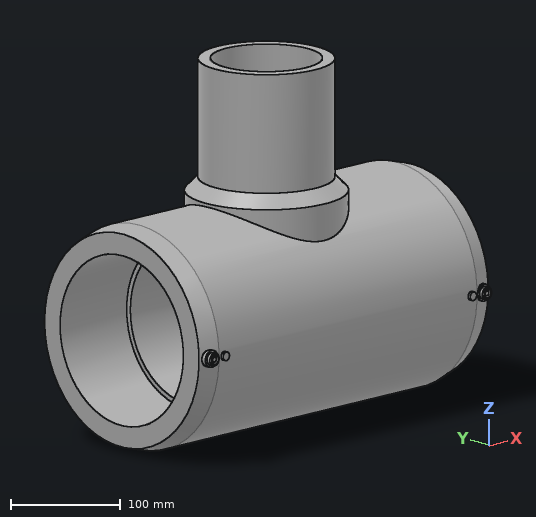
import cadquery as cq
import math

overall_depth = 216.5
overall_height = 338.5

run_length = 370.5
run_diameter = 211.5
end_taper_length = 20.0
end_taper_angle = 15.0
bore_diameter = 150.5
socket_diameter = 160.0
socket_depth = 85.2

branch_diameter = 125.2
branch_bore_diameter = 102.3
branch_length = 111.5
collar_diameter = 150.0
branch_top = overall_height - run_diameter / 2

terminal_inset = 10.7
terminal_reach = overall_depth - run_diameter / 2
terminal_base_diameter = 16.0
terminal_base_reach = run_diameter / 2
terminal_diameter = 12.0
terminal_tip_chamfer = 1.0
terminal_recess_diameter = 8.0
terminal_recess_depth = 4.5
contact_diameter = 5.0
contact_setback = 1.0
indicator_inset = 27.0
indicator_diameter = 8.0
indicator_height = 2.5
anchor_reach = 92.5


def x_cylinder(diameter, length, start):
    return cq.Workplane("YZ", origin=(start, 0, 0)).circle(diameter / 2).extrude(length)


def z_cylinder(diameter, height):
    return cq.Workplane("XY").circle(diameter / 2).extrude(height)


def y_pin(x, diameter, start, reach):
    """Round pin pointing toward -Y, between two distances from the run axis."""
    return cq.Workplane("XZ", origin=(x, -start, 0)).circle(diameter / 2).extrude(reach - start)


def run_body():
    half = run_length / 2
    radius = run_diameter / 2
    end_radius = radius - end_taper_length * math.tan(math.radians(end_taper_angle))
    profile = [
        (-half, 0),
        (-half, end_radius),
        (-half + end_taper_length, radius),
        (half - end_taper_length, radius),
        (half, end_radius),
        (half, 0),
    ]
    return cq.Workplane("XY").polyline(profile).close().revolve(360, (0, 0, 0), (1, 0, 0))


def branch_body():
    """Pipe with a thicker collar at its root, joined by a 45 degree shoulder."""
    pipe_radius = branch_diameter / 2
    collar_radius = collar_diameter / 2
    shoulder_top = branch_top - branch_length
    shoulder_bottom = shoulder_top - (collar_radius - pipe_radius)
    profile = [
        (0, 0),
        (collar_radius, 0),
        (collar_radius, shoulder_bottom),
        (pipe_radius, shoulder_top),
        (pipe_radius, branch_top),
        (0, branch_top),
    ]
    return cq.Workplane("XZ").polyline(profile).close().revolve(360, (0, 0, 0), (0, 1, 0))


def terminal(x):
    base = y_pin(x, terminal_base_diameter, anchor_reach, terminal_base_reach)
    pin = y_pin(x, terminal_diameter, anchor_reach, terminal_reach)
    pin = pin.faces("<Y").chamfer(terminal_tip_chamfer)
    recess_floor = terminal_reach - terminal_recess_depth
    recess = y_pin(x, terminal_recess_diameter, recess_floor, terminal_reach)
    contact = y_pin(x, contact_diameter, anchor_reach, terminal_reach - contact_setback)
    return base.union(pin).cut(recess).union(contact)


def indicator(x):
    return y_pin(x, indicator_diameter, anchor_reach, run_diameter / 2 + indicator_height)


result = run_body().union(branch_body())

result = result.cut(x_cylinder(bore_diameter, run_length, -run_length / 2))
for start in (-run_length / 2, run_length / 2 - socket_depth):
    result = result.cut(x_cylinder(socket_diameter, socket_depth, start))
result = result.cut(z_cylinder(branch_bore_diameter, branch_top))

for side in (-1, 1):
    result = result.union(terminal(side * (run_length / 2 - terminal_inset)))
    result = result.union(indicator(side * (run_length / 2 - indicator_inset)))